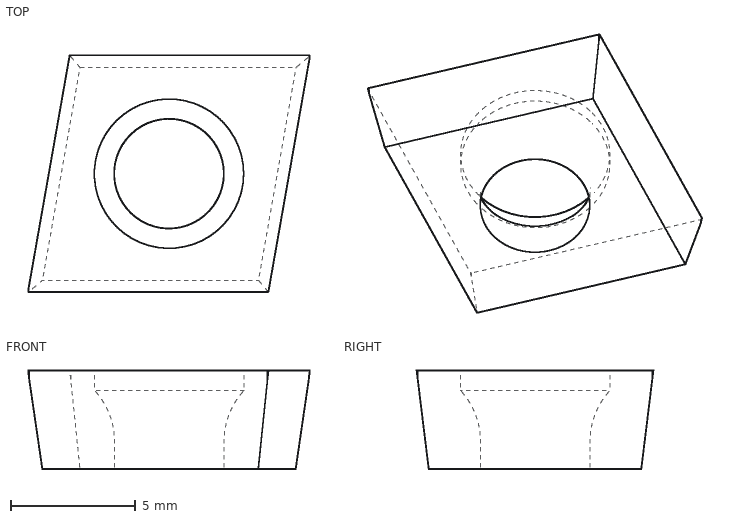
import cadquery as cq
import math

inscribed_diameter = 9.525
thickness = 3.97
nose_angle = 80.0
relief_angle = 7.0
nose_radius = 0.05

mouth_diameter = 6.0
mouth_depth = 0.8
bore_diameter = 4.4
seat_radius = 3.0


def make_body():
    """Rhombus with rounded corners at the top, narrowing downward at the relief angle."""
    half_depth = inscribed_diameter / 2
    half_side = half_depth / math.sin(math.radians(nose_angle))
    lean = half_depth / math.tan(math.radians(nose_angle))
    corners = [
        (-half_side - lean, -half_depth),
        (half_side - lean, -half_depth),
        (half_side + lean, half_depth),
        (-half_side + lean, half_depth),
    ]
    outline = cq.Sketch().polygon(corners + corners[:1]).vertices().fillet(nose_radius)
    return (
        cq.Workplane("XY", origin=(0, 0, thickness))
        .placeSketch(outline)
        .extrude(-thickness, taper=relief_angle)
    )


def make_screw_hole():
    """Revolved hole whose convex seat runs tangentially into the bore."""
    mouth_radius = mouth_diameter / 2
    bore_radius = bore_diameter / 2
    seat_angle = math.acos(1 - (mouth_radius - bore_radius) / seat_radius)
    seat_top = thickness - mouth_depth
    seat_bottom = seat_top - seat_radius * math.sin(seat_angle)
    seat_middle = (
        bore_radius + seat_radius * (1 - math.cos(seat_angle / 2)),
        seat_bottom + seat_radius * math.sin(seat_angle / 2),
    )
    return (
        cq.Workplane("XZ")
        .lineTo(bore_radius, 0)
        .lineTo(bore_radius, seat_bottom)
        .threePointArc(seat_middle, (mouth_radius, seat_top))
        .lineTo(mouth_radius, thickness)
        .lineTo(0, thickness)
        .close()
        .revolve(360, (0, 0, 0), (0, 1, 0))
    )


result = make_body().cut(make_screw_hole())